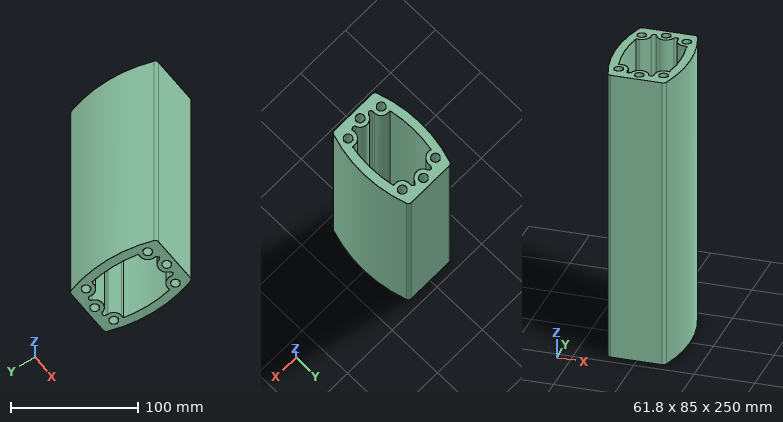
import math

import cadquery as cq

length = 250.0
width = 61.8
depth = 85.0
side_radius = 125.0
corner_radius = 3.2
wall = 7.8

hole_diameter = 7.5
boss_radius = 7.5
corner_hole_x = 18.5
corner_hole_y = 30.0
middle_hole_y = 35.0
groove_radius = 2.0


def bow_x(half_width, radius, y):
    """X of a bowed side at height y, where half_width is its X at y = 0."""
    return half_width - radius + math.sqrt(radius**2 - y**2)


def make_body():
    half_width = width / 2
    half_depth = depth / 2
    corner_x = bow_x(half_width, side_radius, half_depth)
    return (
        cq.Workplane("XY")
        .moveTo(-corner_x, -half_depth)
        .lineTo(corner_x, -half_depth)
        .threePointArc((half_width, 0), (corner_x, half_depth))
        .lineTo(-corner_x, half_depth)
        .threePointArc((-half_width, 0), (-corner_x, -half_depth))
        .close()
        .extrude(length)
        .edges("|Z")
        .fillet(corner_radius)
    )


def make_cavity():
    half_width = width / 2 - wall
    shelf_y = corner_hole_y - boss_radius
    shelf_x = bow_x(half_width, side_radius - wall, shelf_y)
    boss_side_x = corner_hole_x - boss_radius
    diagonal = math.sqrt(0.5)

    groove_x = boss_side_x - groove_radius
    center_gap = boss_radius + groove_radius
    groove_y = middle_hole_y - math.sqrt(center_gap**2 - groove_x**2)
    touch = boss_radius / center_gap
    touch_x = groove_x * touch
    touch_y = middle_hole_y + (groove_y - middle_hole_y) * touch

    outline = cq.Workplane("XY").moveTo(shelf_x, -shelf_y)
    outline = outline.threePointArc((half_width, 0), (shelf_x, shelf_y))
    for side in (1, -1):
        def place(x, y):
            return (side * x, side * y)

        boss_mid_x = corner_hole_x - boss_radius * diagonal
        boss_mid_y = corner_hole_y - boss_radius * diagonal
        groove_top = groove_y + groove_radius
        outline = (
            outline.lineTo(*place(corner_hole_x, shelf_y))
            .threePointArc(place(boss_mid_x, boss_mid_y), place(boss_side_x, corner_hole_y))
            .lineTo(*place(boss_side_x, groove_y))
            .threePointArc(place(groove_x, groove_top), place(touch_x, touch_y))
            .threePointArc(place(0, middle_hole_y - boss_radius), place(-touch_x, touch_y))
            .threePointArc(place(-groove_x, groove_top), place(-boss_side_x, groove_y))
            .lineTo(*place(-boss_side_x, corner_hole_y))
            .threePointArc(place(-boss_mid_x, boss_mid_y), place(-corner_hole_x, shelf_y))
            .lineTo(*place(-shelf_x, shelf_y))
        )
        if side == 1:
            outline = outline.threePointArc((-half_width, 0), (-shelf_x, -shelf_y))
    return outline.close().extrude(length)


def make_holes():
    centers = []
    for side in (1, -1):
        centers.append((0, side * middle_hole_y))
        centers.append((corner_hole_x, side * corner_hole_y))
        centers.append((-corner_hole_x, side * corner_hole_y))
    return cq.Workplane("XY").pushPoints(centers).circle(hole_diameter / 2).extrude(length)


result = make_body().cut(make_cavity()).cut(make_holes())